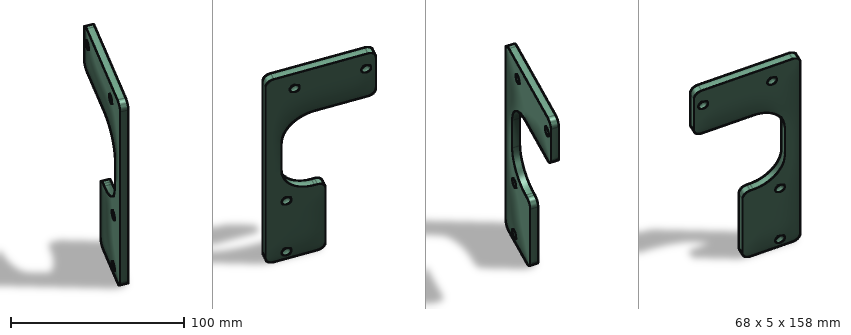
import cadquery as cq

width = 68.0
thickness = 5.0
height = 158.0

arm_width = 37.0
lower_arm_height = 57.0
spine_width = 10.0
outer_radius = 5.0
notch_radius = 20.0

hole_diameter = 6.0
hole_spacing = 44.0
hole_end_offset = 6.0
hole_side_offset = 13.0

upper_arm_bottom = height - arm_width
lower_arm_left = width - arm_width
spine_left = width - spine_width

outline = [
    (lower_arm_left, 0),
    (width, 0),
    (width, height),
    (0, height),
    (0, upper_arm_bottom),
    (spine_left, upper_arm_bottom),
    (spine_left, lower_arm_height),
    (lower_arm_left, lower_arm_height),
]
plate = cq.Workplane("XZ").polyline(outline).close().extrude(-thickness)


def round_corners(body, corners, radius):
    """Round the through-thickness edges at the given (x, z) corners."""
    middle = thickness / 2
    for x, z in corners:
        edge = cq.selectors.NearestToPointSelector((x, middle, z))
        body = body.edges("|Y").edges(edge).fillet(radius)
    return body


notch_corners = [(spine_left, upper_arm_bottom), (spine_left, lower_arm_height)]
outer_corners = [corner for corner in outline if corner not in notch_corners]
plate = round_corners(plate, notch_corners, notch_radius)
plate = round_corners(plate, outer_corners, outer_radius)

upper_hole_z = height - hole_side_offset
lower_hole_x = width - hole_side_offset
hole_centers = []
for step in (0, hole_spacing):
    hole_centers.append((hole_end_offset + step, upper_hole_z))
    hole_centers.append((lower_hole_x, hole_end_offset + step))

holes = (
    cq.Workplane("XZ")
    .pushPoints(hole_centers)
    .circle(hole_diameter / 2)
    .extrude(-thickness)
)

result = plate.cut(holes)